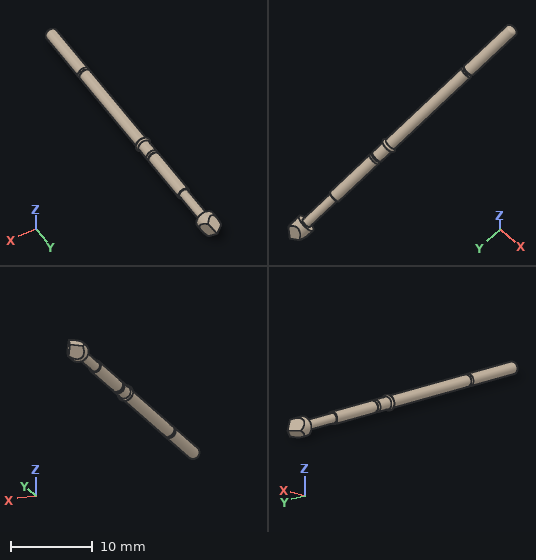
import cadquery as cq
import math

TIP_Y = 40.0

HEAD_RADIUS = 1.25
HEAD_LENGTH = 2.95
FACE_COUNT = 3
FACE_HALF_ANGLE = 30.0

SHANK_RADIUS = 0.65
BARREL_RADIUS = 0.8
BARREL_LENGTH = 32.0

BEAD_RADIUS = 1.0
BEAD_WIDTH = 0.5
BEAD_Y = 22.25

GROOVE_POSITIONS = (24.65, 8.2)
GROOVE_WIDTHS = (0.5, 0.4)
GROOVE_DEPTH = 0.15

TAIL_FILLET = 0.4


def cylinder(radius, y_start, y_end):
    """Cylinder on the Y axis between two stations."""
    base = cq.Workplane("XZ", origin=(0, y_start, 0))
    return base.circle(radius).extrude(y_start - y_end)


def revolve_about_axis(outline):
    """Solid of revolution about the Y axis from an outline in the XY plane."""
    return outline.revolve(360, (0, 0, 0), (0, 1, 0))


def bead():
    """Collar with a circular-arc bulge."""
    low = BEAD_Y - BEAD_WIDTH / 2
    high = BEAD_Y + BEAD_WIDTH / 2
    outline = (
        cq.Workplane("XY")
        .moveTo(0, low)
        .lineTo(BARREL_RADIUS, low)
        .threePointArc((BEAD_RADIUS, BEAD_Y), (BARREL_RADIUS, high))
        .lineTo(0, high)
        .close()
    )
    return revolve_about_axis(outline)


def groove(y, width):
    """Cutter for a V groove, with its sloping walls carried beyond the barrel surface."""
    outer_radius = BARREL_RADIUS + GROOVE_DEPTH
    outline = (
        cq.Workplane("XY")
        .moveTo(BARREL_RADIUS - GROOVE_DEPTH, y)
        .lineTo(outer_radius, y - width)
        .lineTo(outer_radius, y + width)
        .close()
    )
    return revolve_about_axis(outline)


def barrel():
    body = cylinder(BARREL_RADIUS, 0, BARREL_LENGTH).faces("<Y").edges().fillet(TAIL_FILLET)
    for y, width in zip(GROOVE_POSITIONS, GROOVE_WIDTHS):
        body = body.cut(groove(y, width))
    return body.union(bead())


def head():
    """Cylinder sharpened to a pyramid, with one face turned toward +X."""
    blank = cylinder(HEAD_RADIUS, TIP_Y - HEAD_LENGTH, TIP_Y)
    spread = HEAD_LENGTH * math.tan(math.radians(FACE_HALF_ANGLE))
    waste = (
        cq.Workplane("XY")
        .polyline([(0, TIP_Y), (spread, TIP_Y - HEAD_LENGTH), (spread, TIP_Y)])
        .close()
        .extrude(2 * HEAD_RADIUS, both=True)
    )
    for i in range(FACE_COUNT):
        blank = blank.cut(waste.rotate((0, 0, 0), (0, 1, 0), i * 360 / FACE_COUNT))
    return blank


shank = cylinder(SHANK_RADIUS, BARREL_LENGTH, TIP_Y - HEAD_LENGTH)
result = barrel().union(shank).union(head())